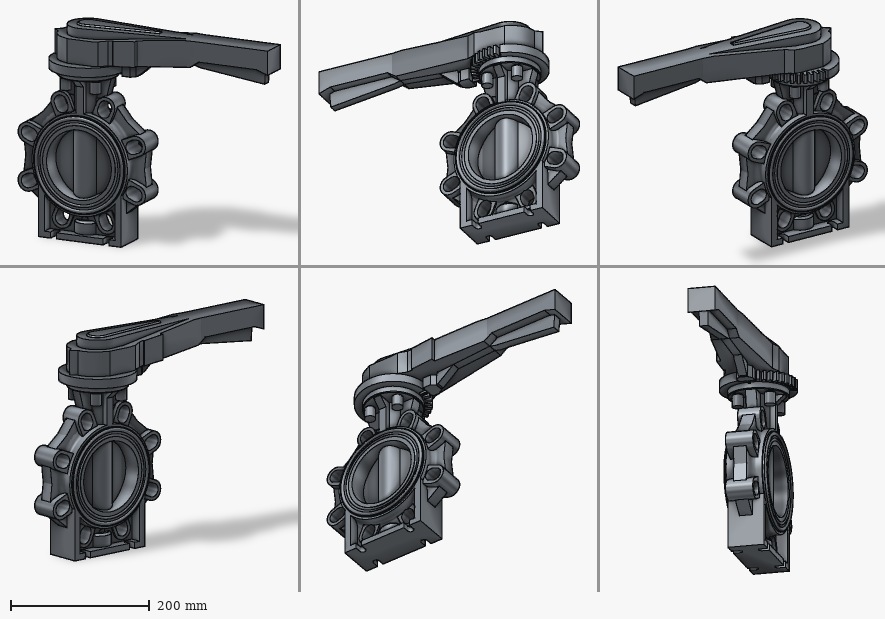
import cadquery as cq
import math


LUG_COUNT = 8
LUG_STEP = 360 / LUG_COUNT
LUG_RADIUS = 15.5
LUG_CENTRE_RADIUS = 94.7
LUG_HALF_LENGTH = 20.5
NECK_LUG_HALF_LENGTH = 17.0
BASE_LUG_HALF_LENGTH = 13.0
SLOT_RADIUS = 10.0
SLOT_INNER_CENTRE = 88.3

LEFT_X = -LUG_CENTRE_RADIUS * math.cos(math.radians(LUG_STEP / 2)) - LUG_RADIUS
HANDLE_END_X = LEFT_X + 403
BOTTOM_Z = -115.3
TOP_Z = BOTTOM_Z + 322.5

RING_RADIUS = 77.0
RING_HALF_WIDTH = 27.0
RING_FILLET = 8.5
WEB_HALF_THICKNESS = 9.5
WEB_WAIST_RADIUS = 96.0
WEB_PEAK_RADIUS = 109

BASE_HALF_WIDTH = 67.0
BASE_TOP_Z = -38.3
BASE_WALL = 10.0
BASE_FLOOR = 9.3
BASE_SLOT_X = 42.5
BASE_SLOT_RADIUS = 5.0
BASE_SLOT_LENGTH = 9.5
HUB_RADIUS = 19.8
HUB_TOP_Z = -86.3
HUB_CHAMFER = 3.2
HUB_CORE_RADIUS = 11.0

FLANGE_RADIUS = 44.7
FLANGE_BOTTOM_Z = 129.5
FLANGE_TOP_Z = 139.5
FLANGE_CHAMFER = 1.2
NECK_WEB_HALF_THICKNESS = 8
NECK_WEB_TOP_HALF_WIDTH = 41.5
NECK_WEB_FOOT_HALF_WIDTH = 34.3
NECK_WEB_FOOT_Z = 102.0
FIN_HALF_THICKNESS = 6.0
FIN_FLARE_Z = 117
FIN_TOP_HALF_WIDTH = 41.0
BOLT_OFFSET = 24
BOLT_RADIUS = 8
BOLT_BOTTOM_Z = 109.5
BOLT_HEAD_TOP_Z = 127.5
BOLT_SHANK_RADIUS = 6.0

LINER_TUBE_RADIUS = 64.5
LINER_FLANGE_RADIUS = 73.5
LINER_HALF_WIDTH = 29.5
BORE_MOUTH_RADIUS = 52.5
BORE_THROAT_RADIUS = 49.5
OUTER_BEAD = (69.5, 3.0)
INNER_BEAD = (61.0, 2.0)

STEM_RADIUS = 21.5
DISC_FLAT_X = 42.0
DISC_RIM_HALF_THICKNESS = 5.0
DISC_ROOT_HALF_THICKNESS = 15.0

PLATE_RADIUS = 113.3 / 2
PLATE_BOTTOM_Z = FLANGE_TOP_Z
PLATE_TOP_Z = 153
TOOTH_STEP = 10
TOOTH_GAP_COUNT = 11
TOOTH_ROOT_RADIUS = 46.8
TOOTH_GAP_ROOT_HALF = 1.2
TOOTH_GAP_TIP_HALF = 3.0

HANDLE_BOTTOM_Z = 154.0
HANDLE_SHOULDER_Z = 190.5
HANDLE_TOP_Z = 204.8
HEAD_ARC_START = (-44.5, 8)
HEAD_ARC_MIDDLE = (-33.5, 29.5)
HEAD_ARC_END = (-22.5, 36.5)
HEAD_HALF_WIDTH = 41.5
HEAD_FLAT_START_X = -13.0
HEAD_FLAT_END_X = 36.5
NOSE_X = -53.5
ARM_START_X = 49.5
ARM_START_HALF_WIDTH = 35.0
GRIP_START_X = 180.5
GRIP_HALF_WIDTH = 20.5
PAD_START_X = 57.5
PAD_END_X = 94.0
PAD_Y = -36.3
SHOULDER_SLOPE_START_X = 26.0
CREST_RADIUS = 30.2
CREST_END_X = 163.5
CREST_END_HALF_WIDTH = 12
CAP_RADIUS = 16
CAP_END_X = 117.3
CAP_END_HALF_WIDTH = 4.5
CAP_CHAMFER = 2.2
UNDERSIDE_END = (175.0, 165.3)
GRIP_UNDERSIDE_START_X = 188.5
GRIP_UNDERSIDE_END_X = 281.7
GRIP_UNDERSIDE_Z = 175.0
GRIP_TIP_Z = 168.5

TRIGGER_HALF_WIDTH = 6.5
BAR_HEEL = (83.5, 137.5)
BAR_HANDLE_ENTRY = (111.0, 160.5)
BAR_TOP_START_X = 88.5
FINGER_GRIP_START = (184.5, 162.5)
FINGER_GRIP_END = (288.0, 150.5)
FINGER_GRIP_TOP_END = (290.0, 172.0)
PAWL_TIP_X = 47.5
PAWL_START_X = 60.5
PAWL_BEVEL_X = 73.8
PAWL_END_X = 80.5
PAWL_HALF_WIDTH = 12
PAWL_BOTTOM_Z = 136.2
PAWL_TOP_Z = 154.0


def plate_between(outline, low, high, plane):
    """Extrude a closed outline from offset `low` to offset `high` along +Y ("XZ") or +Z ("XY")."""
    if plane == "XZ":
        return cq.Workplane("XZ", origin=(0, high, 0)).polyline(outline).close().extrude(high - low)
    return cq.Workplane("XY", origin=(0, 0, low)).polyline(outline).close().extrude(high - low)


def upright_cylinder(radius, low, high):
    return cq.Workplane("XY", origin=(0, 0, low)).circle(radius).extrude(high - low)


def flow_cylinder(radius, half_width):
    return cq.Workplane("XZ").circle(radius).extrude(half_width, both=True)


def block(x_range, y_range, z_range):
    size = [high - low for low, high in (x_range, y_range, z_range)]
    corner = (x_range[0], y_range[0], z_range[0])
    return cq.Workplane("XY").box(*size, centered=False).translate(corner)


def radial_bar(radius, inner, outer, half_length, angle):
    """Round-ended bar along Y, stretched radially from `inner` to `outer`."""
    bar = (
        cq.Workplane("XZ")
        .center((inner + outer) / 2, 0)
        .slot2D(outer - inner + 2 * radius, 2 * radius)
        .extrude(half_length, both=True)
    )
    return bar.rotate((0, 0, 0), (0, 1, 0), -angle)


def bore_core():
    """Waisted flow passage, narrowest at mid-width."""
    return (
        cq.Workplane("XY")
        .moveTo(0, -LINER_HALF_WIDTH)
        .lineTo(BORE_MOUTH_RADIUS, -LINER_HALF_WIDTH)
        .threePointArc((BORE_THROAT_RADIUS, 0), (BORE_MOUTH_RADIUS, LINER_HALF_WIDTH))
        .lineTo(0, LINER_HALF_WIDTH)
        .close()
        .revolve(360, (0, 0, 0), (0, 1, 0))
    )



def housing_ring():
    """Ring with a concave fillet on each side running down to the web."""
    fillet_foot = RING_RADIUS + RING_FILLET
    fillet_end = WEB_HALF_THICKNESS + RING_FILLET
    inset = RING_FILLET * math.sqrt(0.5)
    return (
        cq.Workplane("XY")
        .moveTo(0, -RING_HALF_WIDTH)
        .lineTo(RING_RADIUS, -RING_HALF_WIDTH)
        .lineTo(RING_RADIUS, -fillet_end)
        .threePointArc((fillet_foot - inset, inset - fillet_end), (fillet_foot, -WEB_HALF_THICKNESS))
        .lineTo(fillet_foot, WEB_HALF_THICKNESS)
        .threePointArc((fillet_foot - inset, fillet_end - inset), (RING_RADIUS, fillet_end))
        .lineTo(RING_RADIUS, RING_HALF_WIDTH)
        .lineTo(0, RING_HALF_WIDTH)
        .close()
        .revolve(360, (0, 0, 0), (0, 1, 0))
    )


def housing_web():
    """Star-shaped web: a peak at each lug and a waist between lugs."""
    outline = []
    for i in range(2 * LUG_COUNT):
        angle = math.radians(i * LUG_STEP / 2)
        radius = WEB_PEAK_RADIUS if i % 2 else WEB_WAIST_RADIUS
        outline.append((radius * math.cos(angle), radius * math.sin(angle)))
    return plate_between(outline, -WEB_HALF_THICKNESS, WEB_HALF_THICKNESS, "XZ")


def base_box():
    """Box open to both flow sides, closed by the web at mid-width."""
    inner_half = BASE_HALF_WIDTH - BASE_WALL
    floor_z = BOTTOM_Z + BASE_FLOOR
    full_y = (-RING_HALF_WIDTH, RING_HALF_WIDTH)
    box = block((-BASE_HALF_WIDTH, BASE_HALF_WIDTH), full_y, (BOTTOM_Z, BASE_TOP_Z))
    for low, high in ((-RING_HALF_WIDTH, -WEB_HALF_THICKNESS), (WEB_HALF_THICKNESS, RING_HALF_WIDTH)):
        box = box.cut(block((-inner_half, inner_half), (low, high), (floor_z, BASE_TOP_Z)))
    slot_length = 2 * (BASE_SLOT_LENGTH + BASE_SLOT_RADIUS)
    slots = (
        cq.Workplane("XY", origin=(0, 0, BOTTOM_Z))
        .pushPoints([(x, y) for x in (-BASE_SLOT_X, BASE_SLOT_X) for y in full_y])
        .slot2D(slot_length, 2 * BASE_SLOT_RADIUS, 90)
        .extrude(BASE_FLOOR)
    )
    return box.cut(slots)


def base_hub():
    hub = upright_cylinder(HUB_RADIUS, BOTTOM_Z, HUB_TOP_Z).faces(">Z").chamfer(HUB_CHAMFER)
    return hub.union(upright_cylinder(HUB_CORE_RADIUS, BOTTOM_Z, 0))


def neck():
    """Stem neck with two cross webs, carrying the round top flange."""
    cross_web = [
        (-NECK_WEB_FOOT_HALF_WIDTH, 0),
        (NECK_WEB_FOOT_HALF_WIDTH, 0),
        (NECK_WEB_FOOT_HALF_WIDTH, NECK_WEB_FOOT_Z),
        (NECK_WEB_TOP_HALF_WIDTH, FLANGE_BOTTOM_Z),
        (-NECK_WEB_TOP_HALF_WIDTH, FLANGE_BOTTOM_Z),
        (-NECK_WEB_FOOT_HALF_WIDTH, NECK_WEB_FOOT_Z),
    ]
    fin = [
        (-RING_HALF_WIDTH, 0),
        (RING_HALF_WIDTH, 0),
        (RING_HALF_WIDTH, FIN_FLARE_Z),
        (FIN_TOP_HALF_WIDTH, FLANGE_BOTTOM_Z),
        (-FIN_TOP_HALF_WIDTH, FLANGE_BOTTOM_Z),
        (-RING_HALF_WIDTH, FIN_FLARE_Z),
    ]
    flange = upright_cylinder(FLANGE_RADIUS, FLANGE_BOTTOM_Z, FLANGE_TOP_Z)
    body = upright_cylinder(HUB_RADIUS, 0, FLANGE_BOTTOM_Z)
    body = body.union(plate_between(cross_web, -NECK_WEB_HALF_THICKNESS, NECK_WEB_HALF_THICKNESS, "XZ"))
    body = body.union(cq.Workplane("YZ").polyline(fin).close().extrude(FIN_HALF_THICKNESS, both=True))
    return body.union(flange.faces("<Z").chamfer(FLANGE_CHAMFER))


def bolts():
    """Four bolt heads hanging under the flange on thinner shanks."""
    corners = [(x, y) for x in (-BOLT_OFFSET, BOLT_OFFSET) for y in (-BOLT_OFFSET, BOLT_OFFSET)]
    plan = cq.Workplane("XY", origin=(0, 0, BOLT_BOTTOM_Z)).pushPoints(corners)
    shanks = plan.circle(BOLT_SHANK_RADIUS).extrude(FLANGE_TOP_Z - BOLT_BOTTOM_Z)
    return plan.circle(BOLT_RADIUS).extrude(BOLT_HEAD_TOP_Z - BOLT_BOTTOM_Z).union(shanks)


def lug_half_length(angle):
    """Lugs beside the neck are shortened, and those inside the base box more so."""
    rise = math.sin(math.radians(angle))
    if rise > math.sqrt(0.5):
        return NECK_LUG_HALF_LENGTH
    if rise < -math.sqrt(0.5):
        return BASE_LUG_HALF_LENGTH
    return LUG_HALF_LENGTH


def make_housing():
    body = housing_ring().union(housing_web()).union(base_box()).union(base_hub())
    body = body.union(neck()).union(bolts())
    lug_angles = [(i + 0.5) * LUG_STEP for i in range(LUG_COUNT)]
    for angle in lug_angles:
        half_length = lug_half_length(angle)
        body = body.union(radial_bar(LUG_RADIUS, LINER_TUBE_RADIUS, LUG_CENTRE_RADIUS, half_length, angle))
    for angle in lug_angles:
        slot = radial_bar(SLOT_RADIUS, SLOT_INNER_CENTRE, LUG_CENTRE_RADIUS, RING_HALF_WIDTH, angle)
        body = body.cut(slot)
    return body.cut(flow_cylinder(LINER_TUBE_RADIUS, RING_HALF_WIDTH))



def make_liner():
    """Spool-shaped seat with two round sealing beads on each face."""
    body = flow_cylinder(LINER_FLANGE_RADIUS, LINER_HALF_WIDTH)
    body = body.cut(flow_cylinder(LINER_FLANGE_RADIUS, RING_HALF_WIDTH))
    body = body.union(flow_cylinder(LINER_TUBE_RADIUS, LINER_HALF_WIDTH))
    for ring_radius, bead_radius in (OUTER_BEAD, INNER_BEAD):
        for face_y in (-LINER_HALF_WIDTH, LINER_HALF_WIDTH):
            bead = (
                cq.Workplane("XY")
                .center(ring_radius, face_y)
                .circle(bead_radius)
                .revolve(360, (-ring_radius, 0, 0), (-ring_radius, 1, 0))
            )
            flat = flow_cylinder(RING_RADIUS, LINER_HALF_WIDTH)
            body = body.union(bead.cut(flat))
    return body.cut(bore_core())



def make_disc():
    """Closed disc: a round stem with a wing tapering to a thin rim on each side."""
    section = [
        (-BORE_MOUTH_RADIUS, -DISC_RIM_HALF_THICKNESS),
        (-DISC_FLAT_X, -DISC_RIM_HALF_THICKNESS),
        (0, -DISC_ROOT_HALF_THICKNESS),
        (DISC_FLAT_X, -DISC_RIM_HALF_THICKNESS),
        (BORE_MOUTH_RADIUS, -DISC_RIM_HALF_THICKNESS),
        (BORE_MOUTH_RADIUS, DISC_RIM_HALF_THICKNESS),
        (DISC_FLAT_X, DISC_RIM_HALF_THICKNESS),
        (0, DISC_ROOT_HALF_THICKNESS),
        (-DISC_FLAT_X, DISC_RIM_HALF_THICKNESS),
        (-BORE_MOUTH_RADIUS, DISC_RIM_HALF_THICKNESS),
    ]
    wings = plate_between(section, -BORE_MOUTH_RADIUS, BORE_MOUTH_RADIUS, "XY")
    stem = upright_cylinder(STEM_RADIUS, -BORE_MOUTH_RADIUS, BORE_MOUTH_RADIUS)
    return wings.union(stem).intersect(bore_core())



def make_toothed_plate():
    body = upright_cylinder(PLATE_RADIUS, PLATE_BOTTOM_Z, PLATE_TOP_Z)
    gap = [
        (TOOTH_ROOT_RADIUS, -TOOTH_GAP_ROOT_HALF),
        (PLATE_RADIUS, -TOOTH_GAP_TIP_HALF),
        (PLATE_RADIUS, TOOTH_GAP_TIP_HALF),
        (TOOTH_ROOT_RADIUS, TOOTH_GAP_ROOT_HALF),
    ]
    tooth_gap = plate_between(gap, PLATE_BOTTOM_Z, PLATE_TOP_Z, "XY")
    for i in range(TOOTH_GAP_COUNT):
        body = body.cut(tooth_gap.rotate((0, 0, 0), (0, 0, 1), i * TOOTH_STEP))
    return body



def make_trigger():
    """Bar running inside the handle, from the pawl at the plate to the finger grip."""
    side = [
        (PAWL_START_X, PAWL_BOTTOM_Z),
        BAR_HEEL,
        BAR_HANDLE_ENTRY,
        UNDERSIDE_END,
        FINGER_GRIP_START,
        FINGER_GRIP_END,
        FINGER_GRIP_TOP_END,
        (GRIP_UNDERSIDE_END_X, GRIP_UNDERSIDE_Z),
        (BAR_TOP_START_X, GRIP_UNDERSIDE_Z),
        (PAWL_END_X, PAWL_TOP_Z),
        (PAWL_START_X, PAWL_TOP_Z),
    ]
    pawl = [
        (PAWL_START_X, -PAWL_HALF_WIDTH),
        (PAWL_BEVEL_X, -PAWL_HALF_WIDTH),
        (PAWL_END_X, -TRIGGER_HALF_WIDTH),
        (PAWL_END_X, TRIGGER_HALF_WIDTH),
        (PAWL_BEVEL_X, PAWL_HALF_WIDTH),
        (PAWL_START_X, PAWL_HALF_WIDTH),
    ]
    tooth = block(
        (PAWL_TIP_X, PAWL_START_X),
        (-TOOTH_GAP_ROOT_HALF, TOOTH_GAP_ROOT_HALF),
        (PAWL_BOTTOM_Z, PAWL_TOP_Z),
    )
    bar = plate_between(side, -TRIGGER_HALF_WIDTH, TRIGGER_HALF_WIDTH, "XZ")
    return bar.union(plate_between(pawl, PAWL_BOTTOM_Z, PAWL_TOP_Z, "XY")).union(tooth)



def teardrop(radius, end_x, end_half_width, low, high):
    """Round head about the stem axis whose straight flanks run on to a narrow end."""
    reach = math.hypot(end_x, end_half_width)
    touch = math.atan2(end_half_width, end_x) + math.acos(radius / reach)
    touch_x = radius * math.cos(touch)
    touch_y = radius * math.sin(touch)
    return (
        cq.Workplane("XY", origin=(0, 0, low))
        .moveTo(end_x, -end_half_width)
        .lineTo(end_x, end_half_width)
        .lineTo(touch_x, touch_y)
        .threePointArc((-radius, 0), (touch_x, -touch_y))
        .close()
        .extrude(high - low)
    )


def handle_plan():
    """Plan outline of head, arm and grip, pulled through the full handle height."""
    half_outline = [
        (HEAD_FLAT_START_X, HEAD_HALF_WIDTH),
        (HEAD_FLAT_END_X, HEAD_HALF_WIDTH),
        (ARM_START_X, ARM_START_HALF_WIDTH),
        (GRIP_START_X, GRIP_HALF_WIDTH),
        (HANDLE_END_X, GRIP_HALF_WIDTH),
        (HANDLE_END_X, 0),
    ]
    half = (
        cq.Workplane("XY", origin=(0, 0, HANDLE_BOTTOM_Z))
        .moveTo(NOSE_X, 0)
        .lineTo(*HEAD_ARC_START)
        .threePointArc(HEAD_ARC_MIDDLE, HEAD_ARC_END)
        .polyline(half_outline, includeCurrent=True)
        .close()
        .extrude(HANDLE_TOP_Z - HANDLE_BOTTOM_Z)
    )
    return half.union(half.mirror("XZ"))


def handle_side():
    """Side outline of the handle: rising shoulder on top, arched underside."""
    outline = [
        (NOSE_X, HANDLE_BOTTOM_Z),
        (SHOULDER_SLOPE_START_X, HANDLE_BOTTOM_Z),
        UNDERSIDE_END,
        (GRIP_UNDERSIDE_START_X, GRIP_UNDERSIDE_Z),
        (GRIP_UNDERSIDE_END_X, GRIP_UNDERSIDE_Z),
        (HANDLE_END_X, GRIP_TIP_Z),
        (HANDLE_END_X, HANDLE_TOP_Z),
        (CREST_END_X, HANDLE_TOP_Z),
        (SHOULDER_SLOPE_START_X, HANDLE_SHOULDER_Z),
        (NOSE_X, HANDLE_SHOULDER_Z),
    ]
    return plate_between(outline, -HEAD_HALF_WIDTH, HEAD_HALF_WIDTH, "XZ")


def handle_cap():
    """Thin raised cap, bevelled all round except at its narrow end."""
    cap = teardrop(CAP_RADIUS, CAP_END_X, CAP_END_HALF_WIDTH, HANDLE_TOP_Z, TOP_Z)
    return cap.faces(">Z").edges("not >X").chamfer(CAP_CHAMFER)


def make_handle(trigger):
    pad = block((PAD_START_X, PAD_END_X), (PAD_Y, 0), (HANDLE_BOTTOM_Z, HANDLE_TOP_Z))
    body = handle_plan().union(pad).intersect(handle_side())
    crest = teardrop(CREST_RADIUS, CREST_END_X, CREST_END_HALF_WIDTH, HANDLE_SHOULDER_Z, HANDLE_TOP_Z)
    return body.union(crest).union(handle_cap()).cut(trigger)


housing = make_housing()
liner = make_liner()
disc = make_disc()
toothed_plate = make_toothed_plate()
trigger = make_trigger()
handle = make_handle(trigger)

result = cq.Compound.makeCompound(
    [
        housing.solids().val(),
        liner.solids().val(),
        disc.solids().val(),
        toothed_plate.solids().val(),
        trigger.solids().val(),
        handle.solids().val(),
    ]
)